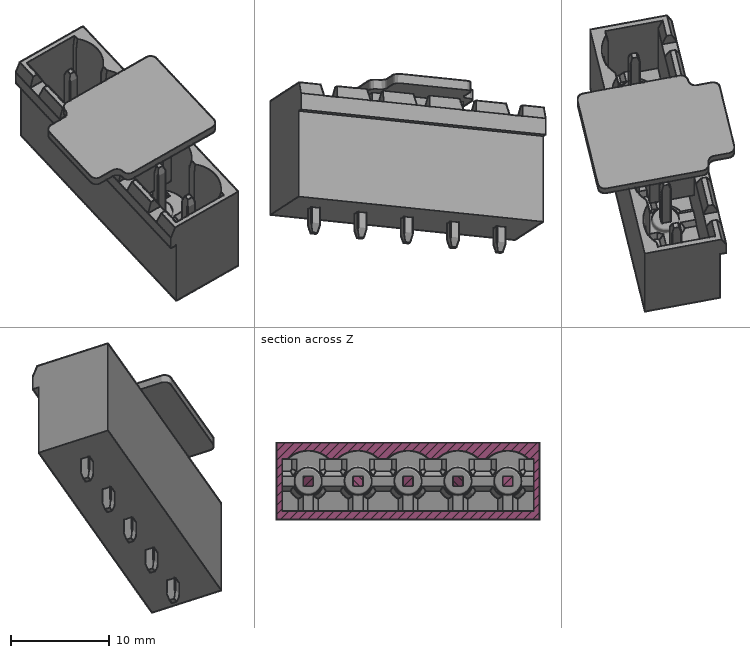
import cadquery as cq


length = 26.8
wall_face = 3.9
height = 12.0
lip_face = 4.58
lip_bottom = height - 3.0
lip_chamfer_width = 0.5
lip_chamfer_height = 1.29

pin_count = 5
pin_span = 20.31
pitch = pin_span / (pin_count - 1)
pin_places = [(i - (pin_count - 1) / 2) * pitch for i in range(pin_count)]

pin_width = 1.05
pin_chamfer = 0.1
pin_top = height - 1.2
pin_bottom = -2.57
pin_tip_width = 0.54
top_taper = 0.88
bottom_taper = 0.96

cavity_half_length = 12.78
cavity_front = -3.03
cavity_back = 2.25
mouth_half_length = 12.9
mouth_front = -3.55
mouth_back = 2.47
lead_in_depth = 1.23
lobe_radius = 3.08
lobe_mouth_radius = 3.32

platform_top = 3.0
slope_width = 0.48
slope_height = 0.48
pocket_floor = platform_top - slope_height
narrow_rib_half = pin_width / 2
rear_rib_half = 1.18
disc_radius = 1.58

boss_radius = 1.4
boss_height = 0.54
boss_top_fillet = 0.25
boss_root_fillet = disc_radius - boss_radius

notch_bottom_width = 1.42
notch_top_width = 1.8
notch_bottom = height - lip_chamfer_height

plate_thickness = 1.0
plate_half_width = 5.68
plate_back = 7.0
plate_front = -4.5
tongue_half_width = 4.23
tongue_front = -7.5
plate_radius = (plate_half_width - tongue_half_width) / 2
clamp_half_width = 4.98
clamp_depth = 5.0
clamp_gap_front = -0.32
clamp_gap_back = 0.62
clamp_back = 1.6


def box(x_range, y_range, z_range):
    """Axis-aligned box between the given limits."""
    size = [end - start for start, end in (x_range, y_range, z_range)]
    corner = (x_range[0], y_range[0], z_range[0])
    return cq.Workplane("XY").box(*size, centered=False).translate(corner)


def rectangle_frustum(lower, z_low, upper, z_high):
    """Solid between two level rectangles, each given as (half_x, y_min, y_max)."""
    half_low, front_low, back_low = lower
    half_high, front_high, back_high = upper
    return (
        cq.Workplane("XY", origin=(0, (front_low + back_low) / 2, z_low))
        .rect(2 * half_low, back_low - front_low)
        .workplane(offset=z_high - z_low)
        .center(0, (front_high + back_high - front_low - back_low) / 2)
        .rect(2 * half_high, back_high - front_high)
        .loft()
    )


def trapezoid_bar(plane, low_half, z_low, high_half, z_high, start, end):
    """Level bar of trapezoid section, running from start to end along the normal of the plane."""
    outline = [(-low_half, z_low), (low_half, z_low), (high_half, z_high), (-high_half, z_high)]
    return cq.Workplane(plane).workplane(offset=start).polyline(outline).close().extrude(end - start)


def shell():
    """Outer block with the chamfered latching lip along its front."""
    outline = [
        (wall_face, 0),
        (wall_face, height),
        (-lip_face + lip_chamfer_width, height),
        (-lip_face, height - lip_chamfer_height),
        (-lip_face, lip_bottom),
        (-wall_face, lip_bottom),
        (-wall_face, 0),
    ]
    return cq.Workplane("YZ").polyline(outline).close().extrude(length / 2, both=True)


def cavity():
    """Room inside the shell down to the pocket floor, with its flared mouth."""
    half, front, back = cavity_half_length, cavity_front, cavity_back
    room = box((-half, half), (front, back), (pocket_floor, height - lead_in_depth))
    mouth = rectangle_frustum(
        (half, front, back), height - lead_in_depth,
        (mouth_half_length, mouth_front, mouth_back), height,
    )
    return room.union(mouth)


def lobe(x):
    """Round bulge in the rear cavity wall behind one pin, flared at its mouth."""
    profile = [
        (0, platform_top),
        (lobe_radius, platform_top),
        (lobe_radius, height - lead_in_depth),
        (lobe_mouth_radius, height),
        (0, height),
    ]
    full = cq.Workplane("XZ").polyline(profile).close().revolve()
    rear = box((-pitch, pitch), (cavity_back, wall_face), (platform_top, height))
    return full.intersect(rear).translate((x, 0, 0))


def notch(x):
    """Slot across the lip with leaning sides, open to the front and to the cavity."""
    bar = trapezoid_bar(
        "XZ", notch_bottom_width / 2, notch_bottom, notch_top_width / 2, height,
        -cavity_front, lip_face,
    )
    return bar.translate((x, 0, 0))


def long_rib():
    """Rib of the platform that joins the pins along the row."""
    return trapezoid_bar(
        "YZ", narrow_rib_half + slope_width, pocket_floor, narrow_rib_half, platform_top,
        -cavity_half_length, cavity_half_length,
    )


def pin_seat(x):
    """Front rib, wide rear rib, disc and rounded boss around one pin."""
    front_rib = trapezoid_bar(
        "XZ", narrow_rib_half + slope_width, pocket_floor, narrow_rib_half, platform_top,
        0, -cavity_front,
    )
    rear_rib = trapezoid_bar(
        "XZ", rear_rib_half + slope_width, pocket_floor, rear_rib_half, platform_top,
        -cavity_back, 0,
    )
    boss_top = platform_top + boss_height
    round_part = (
        cq.Workplane("XZ")
        .moveTo(0, pocket_floor)
        .lineTo(disc_radius + slope_width, pocket_floor)
        .lineTo(disc_radius, platform_top)
        .radiusArc((boss_radius, platform_top + boss_root_fillet), boss_root_fillet)
        .lineTo(boss_radius, boss_top - boss_top_fillet)
        .radiusArc((boss_radius - boss_top_fillet, boss_top), -boss_top_fillet)
        .lineTo(0, boss_top)
        .close()
        .revolve()
    )
    return front_rib.union(rear_rib).union(round_part).translate((x, 0, 0))


def make_pin(x):
    """Square pin with chamfered long edges, tapered at both ends."""
    bar = (
        cq.Workplane("XY", origin=(0, 0, pin_bottom))
        .rect(pin_width, pin_width)
        .extrude(pin_top - pin_bottom)
        .edges("|Z")
        .chamfer(pin_chamfer)
    )
    half = pin_width / 2
    tip_half = pin_tip_width / 2
    silhouette = [
        (tip_half, pin_bottom),
        (half, pin_bottom + bottom_taper),
        (half, pin_top - top_taper),
        (tip_half, pin_top),
    ]
    silhouette += [(-across, z) for across, z in reversed(silhouette)]
    for plane in ("XZ", "YZ"):
        bar = bar.intersect(cq.Workplane(plane).polyline(silhouette).close().extrude(half, both=True))
    return bar.translate((x, 0, 0))


def make_housing(pins):
    """Shell with its cavity, lobes, notches and pin seats; each pin sits in a fitting hole."""
    body = shell().cut(cavity())
    for x in pin_places:
        body = body.cut(lobe(x)).cut(notch(x))
    body = body.union(long_rib())
    for x in pin_places:
        body = body.union(pin_seat(x))
    for pin in pins:
        body = body.cut(pin)
    return body


def plate():
    """Flat plate with rounded corners and a front tongue joined by S-shaped shoulders."""
    r = plate_radius
    shoulder = plate_half_width - r
    half = (
        cq.Workplane("XY", origin=(0, 0, height))
        .moveTo(0, tongue_front)
        .lineTo(tongue_half_width - r, tongue_front)
        .radiusArc((tongue_half_width, tongue_front + r), -r)
        .lineTo(tongue_half_width, plate_front - r)
        .radiusArc((shoulder, plate_front), r)
        .radiusArc((plate_half_width, plate_front + r), -r)
        .lineTo(plate_half_width, plate_back - r)
        .radiusArc((plate_half_width - r, plate_back), -r)
        .lineTo(0, plate_back)
        .mirrorY()
    )
    return half.extrude(plate_thickness)


def make_cap(pins):
    """Plate with two clamping blocks, the front one recessed where the pins pass."""
    cap = plate()
    for y_range in ((cavity_front, clamp_gap_front), (clamp_gap_back, clamp_back)):
        clamp = box((-clamp_half_width, clamp_half_width), y_range, (height - clamp_depth, height))
        cap = cap.union(clamp)
    for pin in pins:
        cap = cap.cut(pin)
    return cap


pins = [make_pin(x) for x in pin_places]
housing = make_housing(pins)
cap = make_cap(pins)

result = cq.Compound.makeCompound([housing.val(), cap.val(), *[pin.val() for pin in pins]])